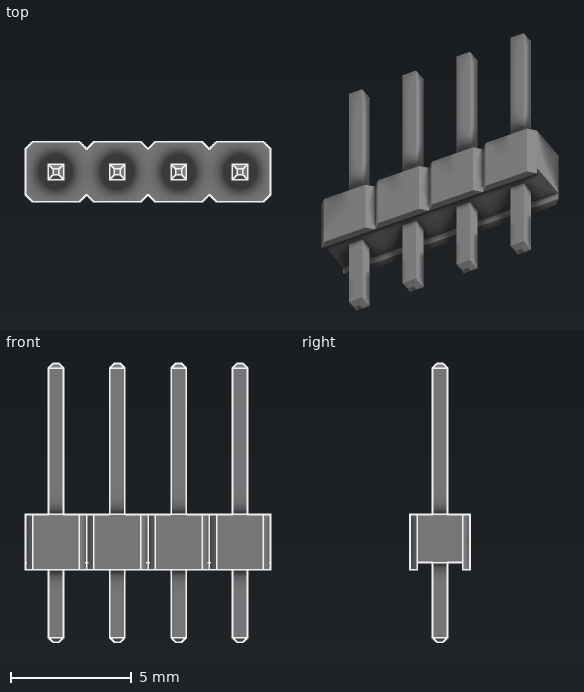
import cadquery as cq


pin_count = 4
pitch = 2.54
housing_depth = 2.49
housing_height = 2.3
corner_chamfer = 0.3
channel_height = 0.3
foot_web = 0.006
channel_width = housing_depth - 2 * (corner_chamfer + foot_web)

overall_height = 11.54
pin_side = 0.63
pin_below = 3.0
pin_tip_chamfer = 0.2

row_length = pin_count * pitch
pin_centres = [((i - (pin_count - 1) / 2) * pitch, 0) for i in range(pin_count)]


def make_housing():
    """Touching cells with chamfered vertical edges and a channel along the underside."""
    cell = cq.Workplane("XY").box(pitch, housing_depth, housing_height, centered=(True, True, False))
    cell = cell.edges("|Z").chamfer(corner_chamfer)
    housing = cq.Workplane("XY")
    for x, y in pin_centres:
        housing = housing.union(cell.translate((x, y, 0)))
    channel = cq.Workplane("XY").box(row_length, channel_width, channel_height, centered=(True, True, False))
    return housing.cut(channel)


def make_pin():
    """Square pin, tapered at both ends."""
    pin = cq.Workplane("XY").box(pin_side, pin_side, overall_height, centered=(True, True, False))
    pin = pin.faces("<Z or >Z").chamfer(pin_tip_chamfer)
    return pin.translate((0, 0, -pin_below))


result = make_housing()
pin = make_pin()
for x, y in pin_centres:
    result = result.union(pin.translate((x, y, 0)))